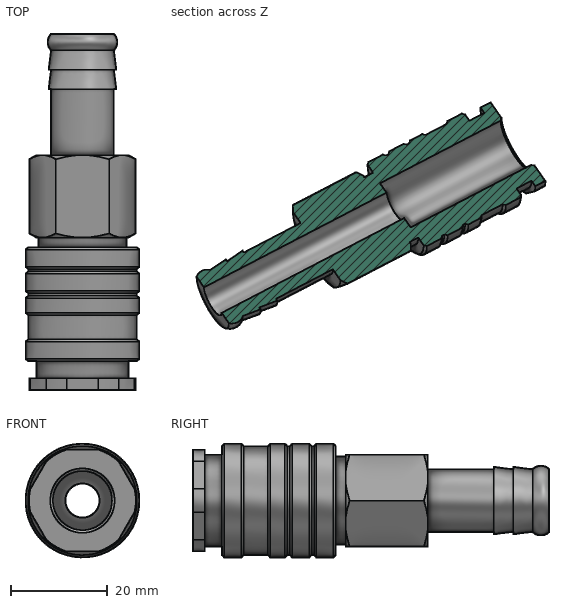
import cadquery as cq
import math


FLANGE_END = 2.5
SLEEVE_START = 6.0
SLEEVE_END = 29.5
HEX_START = 31.5
HEX_END = 48.5
TAIL_END = 73.5

FLANGE_RADIUS = 11.0
FLANGE_ACROSS_FLATS = 21.0
MOUTH_NECK_RADIUS = 9.5

RING_RADIUS = 11.75
RING_CHAMFER = 0.5
CORE_RADIUS = RING_RADIUS - RING_CHAMFER
RING_GROOVE = 0.5
WAIST_LENGTH = 5.0
RINGS_AND_GAPS = [(4.5, WAIST_LENGTH), (4.0, RING_GROOVE), (4.5, RING_GROOVE), (4.5, 0.0)]

HEX_ACROSS_FLATS = 19.0
HEX_CHAMFER_ANGLE = 30.0
HEX_NECK_RADIUS = 9.1

TAIL_RADIUS = 6.5
BARB_RADIUS = 7.0
BARB_LENGTH = 4.0
BARB_COUNT = 2
BEAD_RADIUS = 7.2
BEAD_LENGTH = 3.4

THROUGH_RADIUS = 3.5
SOCKET_RADIUS = 6.1
SOCKET_DEPTH = SLEEVE_END
MOUTH_CHAMFER = 0.55


def revolve_about_y(profile):
    """Turn a closed (radius, y) profile a full revolution about the Y axis."""
    return profile.close().revolve(360, (0, 0, 0), (0, 1, 0))


def cylinder(radius, start, end):
    """Solid cylinder on the Y axis between two Y positions."""
    return cq.Workplane("XZ", origin=(0, end, 0)).circle(radius).extrude(end - start)


def hexagonal_bar(across_flats, start, end):
    """Hexagonal bar on the Y axis with flats facing +Z and -Z."""
    across_corners = across_flats / math.cos(math.radians(30))
    return cq.Workplane("XZ", origin=(0, end, 0)).polygon(6, across_corners).extrude(end - start)


def make_flange():
    flats = hexagonal_bar(FLANGE_ACROSS_FLATS, 0, FLANGE_END)
    return cylinder(FLANGE_RADIUS, 0, FLANGE_END).intersect(flats)


def make_sleeve():
    profile = cq.Workplane("XY").moveTo(0, SLEEVE_START).lineTo(CORE_RADIUS, SLEEVE_START)
    ring_start = SLEEVE_START
    for ring_length, gap in RINGS_AND_GAPS:
        ring_end = ring_start + ring_length
        profile = profile.lineTo(RING_RADIUS, ring_start + RING_CHAMFER)
        profile = profile.lineTo(RING_RADIUS, ring_end - RING_CHAMFER)
        profile = profile.lineTo(CORE_RADIUS, ring_end)
        ring_start = ring_end + gap
        if gap > 0:
            profile = profile.lineTo(CORE_RADIUS, ring_start)
    return revolve_about_y(profile.lineTo(0, SLEEVE_END))


def make_hex_nut():
    """Hexagon whose corners are turned off by a cone at each end."""
    face_radius = HEX_ACROSS_FLATS / 2
    corner_radius = face_radius / math.cos(math.radians(30))
    chamfer_depth = (corner_radius - face_radius) * math.tan(math.radians(HEX_CHAMFER_ANGLE))
    turned_blank = revolve_about_y(
        cq.Workplane("XY")
        .moveTo(0, HEX_START)
        .lineTo(face_radius, HEX_START)
        .lineTo(corner_radius, HEX_START + chamfer_depth)
        .lineTo(corner_radius, HEX_END - chamfer_depth)
        .lineTo(face_radius, HEX_END)
        .lineTo(0, HEX_END)
    )
    return hexagonal_bar(HEX_ACROSS_FLATS, HEX_START, HEX_END).intersect(turned_blank)


def make_hose_tail():
    """Plain tube, barbs that taper toward the tip, and a rounded bead at the tip."""
    bead_start = TAIL_END - BEAD_LENGTH
    barb_start = bead_start - BARB_COUNT * BARB_LENGTH
    profile = cq.Workplane("XY").moveTo(0, HEX_END).lineTo(TAIL_RADIUS, HEX_END)
    for index in range(BARB_COUNT):
        start = barb_start + index * BARB_LENGTH
        profile = profile.lineTo(TAIL_RADIUS, start)
        profile = profile.lineTo(BARB_RADIUS, start)
    bead_middle = (BEAD_RADIUS, TAIL_END - BEAD_LENGTH / 2)
    profile = profile.lineTo(TAIL_RADIUS, bead_start)
    profile = profile.threePointArc(bead_middle, (TAIL_RADIUS, TAIL_END))
    return revolve_about_y(profile.lineTo(0, TAIL_END))


def make_bore():
    """Coupling socket with a chamfered mouth, continued by a narrower through hole."""
    return revolve_about_y(
        cq.Workplane("XY")
        .lineTo(SOCKET_RADIUS + MOUTH_CHAMFER, 0)
        .lineTo(SOCKET_RADIUS, MOUTH_CHAMFER)
        .lineTo(SOCKET_RADIUS, SOCKET_DEPTH)
        .lineTo(THROUGH_RADIUS, SOCKET_DEPTH)
        .lineTo(THROUGH_RADIUS, TAIL_END)
        .lineTo(0, TAIL_END)
    )


body = make_flange()
body = body.union(cylinder(MOUTH_NECK_RADIUS, FLANGE_END, SLEEVE_START))
body = body.union(make_sleeve())
body = body.union(cylinder(HEX_NECK_RADIUS, SLEEVE_END, HEX_START))
body = body.union(make_hex_nut())
body = body.union(make_hose_tail())

result = body.cut(make_bore())